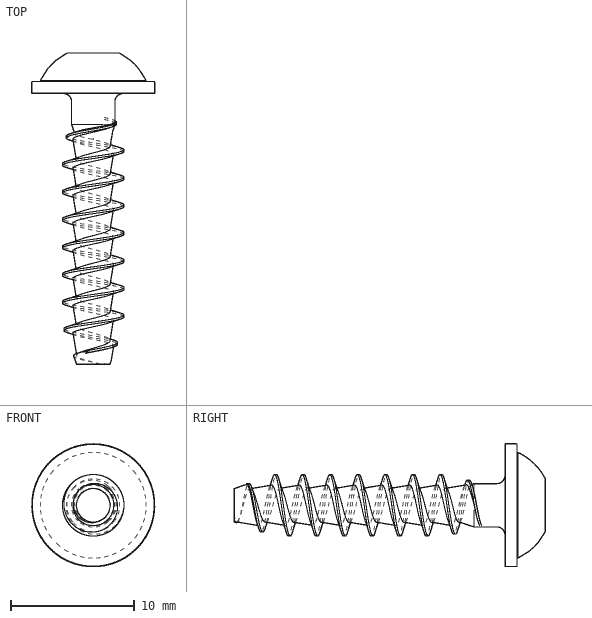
import cadquery as cq
import math


flange_radius = 5.0
flange_thickness = 1.0
flange_top_round = 0.1
flange_seat_chamfer = 0.05
head_height = 3.3
dome_foot_radius = 4.3
dome_foot_height = 1.08
dome_top_radius = 2.15
dome_sphere_radius = 4.9

screw_length = 22.0
shank_radius = 1.77
neck_fillet = 0.65
shank_end = 2.5
core_radius = 1.36
core_taper_length = 1.25

pitch = 2.24
crest_radius = 2.5
crest_width = 0.16
flank_slope = math.tan(math.radians(15.0))

floor_high_radius = 1.70
floor_slope = 0.168
floor_overlap = 0.03
thread_root_radius = 1.2

start_depth = 1.83
start_angle = -90.0
full_depth = start_depth + 1.25 * pitch
sink_depth = 18.87
overrun_depth = screw_length + pitch / 2
tip_radius = 1.354
tip_slope = (crest_radius - tip_radius) / (screw_length - sink_depth)
low_crest_radius = 1.73
tail_depth = screw_length - (low_crest_radius - tip_radius) / tip_slope

axis_start = (0, 0, 0)
axis_end = (0, 1, 0)


def arc_middle(center, radius, degrees):
    """Point on a circle, used as the middle of an arc."""
    angle = math.radians(degrees)
    return (center[0] + radius * math.cos(angle), center[1] + radius * math.sin(angle))


def make_head_and_shank():
    """Dome, flange, neck fillet, plain shank and core, revolved about the screw axis."""
    dome_top = (dome_top_radius, head_height)
    dome_foot = (dome_foot_radius, dome_foot_height)
    round_center = (flange_radius - flange_top_round, flange_thickness - flange_top_round)
    neck_center = (shank_radius + neck_fillet, -neck_fillet)
    profile = (
        cq.Workplane("XY")
        .moveTo(0, head_height)
        .lineTo(*dome_top)
        .radiusArc(dome_foot, dome_sphere_radius)
        .lineTo(dome_foot_radius, flange_thickness)
        .lineTo(round_center[0], flange_thickness)
        .threePointArc(arc_middle(round_center, flange_top_round, 45), (flange_radius, round_center[1]))
        .lineTo(flange_radius, flange_seat_chamfer)
        .lineTo(flange_radius - flange_seat_chamfer, 0)
        .lineTo(neck_center[0], 0)
        .threePointArc(arc_middle(neck_center, neck_fillet, 135), (shank_radius, -neck_fillet))
        .lineTo(shank_radius, -shank_end)
        .lineTo(core_radius, -shank_end - core_taper_length)
        .lineTo(core_radius, -overrun_depth)
        .lineTo(0, -overrun_depth)
        .close()
    )
    return profile.revolve(360, axis_start, axis_end).rotate(axis_start, axis_end, -90)


def crest_at(depth):
    """Crest radius of the tooth: rising, full height, sinking, then a low ridge."""
    rise = (crest_radius - low_crest_radius) / (full_depth - start_depth)
    rising_crest = low_crest_radius + (depth - start_depth) * rise
    sinking_crest = max(low_crest_radius, crest_radius - (depth - sink_depth) * tip_slope)
    return min(rising_crest, crest_radius, sinking_crest)


def thread_section(depth):
    """Corners (radius, axial offset) of one tooth with the floor that follows it toward the tip."""
    crest = crest_at(depth)
    half_crest = crest_width / 2
    root_offset = -half_crest - (crest - thread_root_radius) * flank_slope
    fall = (crest - floor_high_radius + floor_slope * half_crest) / (1 - floor_slope * flank_slope)
    foot = (crest - fall, half_crest + fall * flank_slope)
    next_crest_offset = pitch - half_crest
    next_drop = crest_at(depth + pitch) - floor_high_radius + floor_slope * next_crest_offset
    next_fall = next_drop / (1 + floor_slope * flank_slope)
    floor_end_offset = next_crest_offset - next_fall * flank_slope + floor_overlap
    floor_end_radius = floor_high_radius - floor_slope * floor_end_offset
    return [
        (thread_root_radius, root_offset),
        (crest, -half_crest),
        (crest, half_crest),
        foot,
        (floor_end_radius, floor_end_offset),
        (thread_root_radius, floor_end_offset),
    ]


def helix_edge(start, end, depth_from, depth_to):
    """Right-hand helix about Z along which one section corner moves from start to end."""
    turns = (depth_to - depth_from) / pitch
    height = depth_to - depth_from + end[1] - start[1]
    rise = end[0] - start[0]
    if rise == 0:
        wire = cq.Wire.makeHelix(height / turns, height, start[0])
    else:
        slant = math.hypot(height, rise)
        cone_angle = math.degrees(math.atan2(rise, height))
        wire = cq.Wire.makeHelix(slant / turns, slant, start[0], angle=cone_angle)
    return wire.translate(cq.Vector(0, 0, depth_from + start[1])).Edges()[0]


def thread_stretch(depth_from, depth_to):
    """Stretch of thread, shorter than one turn, whose section changes evenly between two depths."""
    corners = zip(thread_section(depth_from), thread_section(depth_to))
    edges = [helix_edge(start, end, depth_from, depth_to) for start, end in corners]
    faces = [cq.Face.makeRuledSurface(edges[i - 1], edges[i]) for i in range(len(edges))]
    for end in (0, 1):
        outline = [edge.positionAt(end) for edge in edges]
        faces.append(cq.Face.makeFromWires(cq.Wire.makePolygon(outline, close=True)))
    solid = cq.Solid.makeSolid(cq.Shell.makeShell(faces))
    turned = start_angle + 360 * (depth_from - start_depth) / pitch
    return cq.Workplane(solid).rotate((0, 0, 0), (0, 0, 1), turned).rotate((0, 0, 0), (1, 0, 0), 90)


def thread_run(depth_from, depth_to):
    """Equal stretches, each shorter than one turn, that make up one part of the thread."""
    count = math.floor((depth_to - depth_from) / pitch) + 1
    step = (depth_to - depth_from) / count
    starts = [depth_from + index * step for index in range(count)]
    return [thread_stretch(depth, depth + step) for depth in starts]


def make_tip_trim():
    """Space around the cone that narrows to the tip circle."""
    outer_radius = 2 * crest_radius
    far_radius = tip_radius - tip_slope * pitch
    far_end = -screw_length - pitch
    return (
        cq.Workplane("XY")
        .moveTo(low_crest_radius, -tail_depth)
        .lineTo(far_radius, far_end)
        .lineTo(outer_radius, far_end)
        .lineTo(outer_radius, -tail_depth)
        .close()
        .revolve(360, axis_start, axis_end)
    )


def make_beyond_tip():
    """Space past the flat tip."""
    return cq.Workplane("XZ", origin=(0, -screw_length, 0)).circle(flange_radius).extrude(2 * pitch)


tip_trim = make_tip_trim()
rising_and_full = thread_run(start_depth, full_depth) + thread_run(full_depth, sink_depth)
sinking_and_low = thread_run(sink_depth, tail_depth) + thread_run(tail_depth, overrun_depth)

result = make_head_and_shank()
for stretch in rising_and_full:
    result = result.union(stretch)
for stretch in sinking_and_low:
    result = result.union(stretch.cut(tip_trim))
result = result.cut(make_beyond_tip())